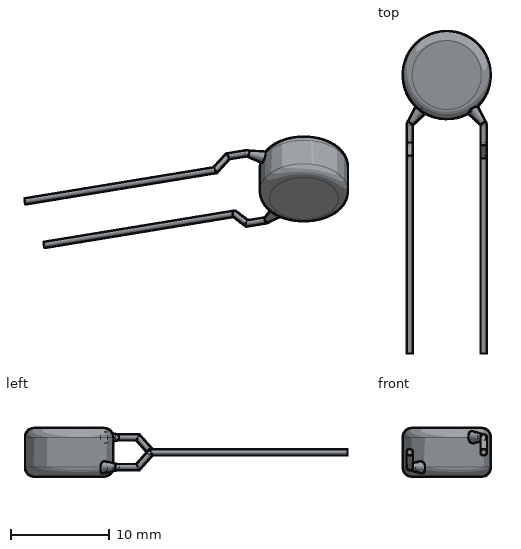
import cadquery as cq
import math


overall_length = 32.8
disc_diameter = 9.0
disc_thickness = 5.0
disc_edge_radius = 1.0
lead_diameter = 0.65
lead_pitch = 7.5
lead_bend_radius = 0.4
collar_angle = 37.0
collar_root_diameter = 1.2
crank_start = 7.0
crank_end = 8.33

disc_radius = disc_diameter / 2
lead_radius = lead_diameter / 2
lead_offset = lead_pitch / 2
lead_end = overall_length - disc_radius
exit_height = disc_thickness / 2 - disc_edge_radius

angle = math.radians(collar_angle)
tip_offset = lead_offset - lead_bend_radius * (1 - math.cos(angle))
tip_distance = tip_offset / math.sin(angle)
tip_setback = tip_distance * math.cos(angle)
collar_direction = cq.Vector(math.sin(angle), -math.cos(angle), 0)
bend_end = tip_setback + lead_bend_radius * math.sin(angle)

mid_angle = angle / 2
bend_mid_offset = lead_offset - lead_bend_radius * (1 - math.cos(mid_angle))
bend_mid_setback = bend_end - lead_bend_radius * math.sin(mid_angle)

collar_inner_distance = disc_radius - disc_edge_radius
collar_taper = (collar_root_diameter / 2 - lead_radius) / (tip_distance - disc_radius)
collar_inner_radius = lead_radius + collar_taper * (tip_distance - collar_inner_distance)


def make_disc():
    """Coated disc with rounded edges on both faces."""
    return (
        cq.Workplane("XY")
        .workplane(offset=-disc_thickness / 2)
        .circle(disc_radius)
        .extrude(disc_thickness)
        .faces("|Z")
        .edges()
        .fillet(disc_edge_radius)
        .solids()
    )


def make_collar(disc):
    """Tapered coating collar on the +X side, seated on the disc's rim and ending at the lead."""
    inner_center = collar_direction * collar_inner_distance + cq.Vector(0, 0, exit_height)
    cone = cq.Solid.makeCone(
        collar_inner_radius,
        lead_radius,
        tip_distance - collar_inner_distance,
        pnt=inner_center,
        dir=collar_direction,
    )
    return cq.Workplane(cone).cut(disc).solids()


def make_lead():
    """Round wire on the +X side that bends out of its collar and cranks to the mid-plane."""
    tip = cq.Vector(tip_offset, -tip_setback, exit_height)
    bend_mid = cq.Vector(bend_mid_offset, -bend_mid_setback, exit_height)
    bend_stop = cq.Vector(lead_offset, -bend_end, exit_height)
    crank_top = cq.Vector(lead_offset, -crank_start, exit_height)
    crank_bottom = cq.Vector(lead_offset, -crank_end, 0)
    wire_end = cq.Vector(lead_offset, -lead_end, 0)

    path = cq.Wire.assembleEdges([
        cq.Edge.makeThreePointArc(tip, bend_mid, bend_stop),
        cq.Edge.makeLine(bend_stop, crank_top),
        cq.Edge.makeLine(crank_top, crank_bottom),
        cq.Edge.makeLine(crank_bottom, wire_end),
    ])
    section_plane = cq.Plane(origin=tip, xDir=(0, 0, 1), normal=collar_direction)
    return cq.Workplane(section_plane).circle(lead_radius).sweep(path, transition="right")


disc = make_disc()
collars = []
leads = []
for turn in (0, 180):
    collars.append(make_collar(disc).rotate((0, 0, 0), (0, 1, 0), turn))
    leads.append(make_lead().rotate((0, 0, 0), (0, 1, 0), turn))

result = cq.Compound.makeCompound(
    [
        disc.val(),
        *[collar.val() for collar in collars],
        *[lead.val() for lead in leads],
    ]
)